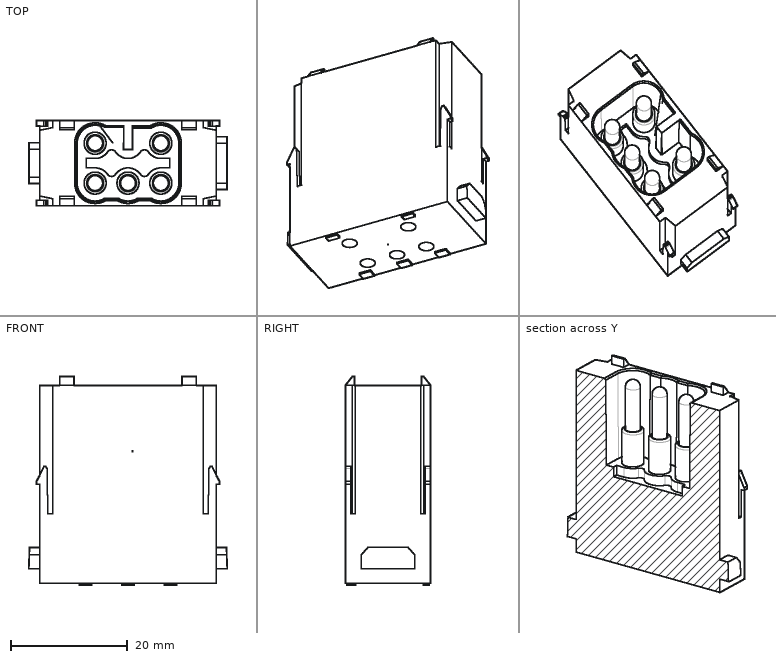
import cadquery as cq
import math

housing_width = 30.2
housing_depth = 14.6
housing_height = 33.88
half_width = housing_width / 2
half_depth = housing_depth / 2

pin_span = 11.25
row_pitch = 6.82
pin_x = pin_span / 2
pin_y = row_pitch / 2
pin_places = [(-pin_x, pin_y), (pin_x, pin_y), (-pin_x, -pin_y), (0, -pin_y), (pin_x, -pin_y)]

pin_radius = 1.3
pin_top = 33.25

lobe_radius = 3.2
cavity_flat_y = 6.15
rim_chamfer = 0.3
cavity_floor = 17.85
cavity_depth = housing_height - cavity_floor
draft_angle = 0.5
draft_inset = cavity_depth * math.tan(math.radians(draft_angle))

tongue_width = 1.43
tongue_tip_y = 2.4
tongue_root_y = 6.8

sleeve_radius = 1.9
sleeve_top = 24.17
sleeve_rounding = 0.32
countersink = 0.15

recess_half_length = 7.18
recess_clearance = 2.6
recess_crest_y = 2.3
recess_depth = 1.8

notch_length = 2.2
notch_inner_depth = 1.2
notch_outer_depth = 1.68
notch_bottom = 11.9
arm_thickness = 0.95
arm_root_width = 1.4
arm_tip_width = 1.25
arm_tip_setback = 0.57
arm_crest_setback = 0.7
arm_crest_width = 0.3
arm_inner_shoulder = 19.6
arm_outer_shoulder = 19.67
arm_top = 20.0
barb_outset = 0.57
barb_bottom = 16.92
barb_nose = 17.42

tab_inner_x = 9.2
tab_width = 2.5
tab_depth = 1.6
tab_ridge_depth = 1.2
tab_height = 1.55

lug_bottom = 2.45
lug_top = 6.15
lug_chamfer_width = 1.1
lug_chamfer_height = 1.2
lug_reach = 1.9
lug_draft_angle = 2.0
left_lug_width = 7.0
right_lug_width = 9.05

pad_height = 0.3
pad_width = 2.15
pad_x = 7.25
front_pad_y = -6.3
front_pad_depth = 1.6
back_pad_y = 6.57
back_pad_depth = 1.05
pads = [(x, front_pad_y, front_pad_depth) for x in (-pad_x, 0, pad_x)]
pads += [(x, back_pad_y, back_pad_depth) for x in (-pad_x, pad_x)]


def in_four_corners(shape):
    """The +X +Y shape together with its mirror images in the other three corners."""
    pair = shape.union(shape.mirror("YZ"))
    return pair.union(pair.mirror("XZ"))


def lobed_outline(work, inset):
    """Cavity outline: round lobes about the pins, joined by flats, moved inward by inset."""
    radius = lobe_radius - inset
    flat_y = cavity_flat_y - inset
    reach = math.sqrt(radius**2 - (flat_y - pin_y) ** 2)
    side_x = pin_x + radius
    crest_y = pin_y + radius
    return (
        work.moveTo(-side_x, pin_y)
        .threePointArc((-pin_x, crest_y), (-pin_x + reach, flat_y))
        .lineTo(pin_x - reach, flat_y)
        .threePointArc((pin_x, crest_y), (side_x, pin_y))
        .lineTo(side_x, -pin_y)
        .threePointArc((pin_x, -crest_y), (pin_x - reach, -flat_y))
        .lineTo(reach, -flat_y)
        .threePointArc((0, -crest_y), (-reach, -flat_y))
        .lineTo(-pin_x + reach, -flat_y)
        .threePointArc((-pin_x, -crest_y), (-side_x, -pin_y))
        .close()
    )


def lobed_loft(bottom, bottom_inset, top, top_inset):
    lower = lobed_outline(cq.Workplane("XY", origin=(0, 0, bottom)), bottom_inset)
    return lobed_outline(lower.workplane(offset=top - bottom), top_inset).loft(ruled=True)


def cavity():
    pocket = lobed_loft(cavity_floor, draft_inset, housing_height, 0)
    rim = lobed_loft(housing_height - rim_chamfer, 0, housing_height, -rim_chamfer)
    return pocket.union(rim)


def tongue():
    """Rib that widens towards the cavity floor."""
    length = tongue_root_y - tongue_tip_y
    return (
        cq.Workplane("XY", origin=(0, tongue_tip_y + length / 2, housing_height))
        .rect(tongue_width, length)
        .extrude(-cavity_depth, taper=-draft_angle)
    )


def sleeves():
    height = sleeve_top - cavity_floor
    floor = cq.Workplane("XY", origin=(0, 0, cavity_floor)).pushPoints(pin_places)
    return floor.circle(sleeve_radius).extrude(height).faces(">Z").fillet(sleeve_rounding)


def pin_bores():
    """Through holes that fit the pins, countersunk at the sleeve mouths."""
    bores = cq.Workplane("XY").pushPoints(pin_places).circle(pin_radius).extrude(sleeve_top)
    mouths = (
        cq.Workplane("XY", origin=(0, 0, sleeve_top))
        .pushPoints(pin_places)
        .circle(pin_radius + countersink)
        .extrude(-countersink, taper=45)
    )
    return bores.union(mouths)


def floor_recess():
    """Recess edged by arcs about the contact places, with round crests tangent to them."""
    crest_x = pin_x / 2
    rise = pin_y - recess_crest_y
    crest_radius = (crest_x**2 + rise**2 - recess_clearance**2) / (2 * (recess_clearance - rise))
    crest_angle = math.atan2(rise + crest_radius, crest_x)
    waist_y = pin_y - recess_clearance
    tangent_x = recess_clearance * math.cos(crest_angle)
    tangent_y = pin_y - recess_clearance * math.sin(crest_angle)
    middle_angle = (crest_angle + math.pi / 2) / 2
    middle_x = pin_x - recess_clearance * math.cos(middle_angle)
    middle_y = pin_y - recess_clearance * math.sin(middle_angle)
    quarter = (
        cq.Workplane("XY", origin=(0, 0, cavity_floor))
        .lineTo(recess_half_length, 0)
        .lineTo(recess_half_length, waist_y)
        .lineTo(pin_x, waist_y)
        .threePointArc((middle_x, middle_y), (pin_x - tangent_x, tangent_y))
        .threePointArc((crest_x, recess_crest_y), (tangent_x, tangent_y))
        .threePointArc((pin_x - middle_x, middle_y), (0, waist_y))
        .close()
        .extrude(-recess_depth)
    )
    return in_four_corners(quarter)


def corner_notch():
    outline = [
        (half_width, half_depth),
        (half_width - notch_length, half_depth),
        (half_width - notch_length, half_depth - notch_inner_depth),
        (half_width, half_depth - notch_outer_depth),
    ]
    base = cq.Workplane("XY", origin=(0, 0, notch_bottom))
    return base.polyline(outline).close().extrude(housing_height - notch_bottom)


def latch_arm():
    """Barbed arm that rises from the bottom of a corner notch, flush with the long side."""
    return (
        cq.Workplane("XZ", origin=(half_width, half_depth, 0))
        .moveTo(0, notch_bottom)
        .lineTo(0, barb_bottom)
        .lineTo(barb_outset, barb_bottom)
        .lineTo(barb_outset, barb_nose)
        .lineTo(-arm_tip_setback, arm_outer_shoulder)
        .lineTo(-arm_crest_setback, arm_top)
        .lineTo(-arm_crest_setback - arm_crest_width, arm_top)
        .lineTo(-arm_tip_width, arm_inner_shoulder)
        .lineTo(-arm_root_width, notch_bottom)
        .close()
        .extrude(arm_thickness)
    )


def top_tab():
    """Wedge that rises inward from the long edge of the top face."""
    profile = [
        (half_depth, housing_height),
        (half_depth - tab_ridge_depth, housing_height + tab_height),
        (half_depth - tab_depth, housing_height + tab_height),
        (half_depth - tab_depth, housing_height),
    ]
    return cq.Workplane("YZ", origin=(tab_inner_x, 0, 0)).polyline(profile).close().extrude(tab_width)


def end_lug(width):
    """Lug on the +X end, with cut upper corners and an end face that leans inward."""
    half = width / 2
    outline = [
        (-half, lug_bottom),
        (half, lug_bottom),
        (half, lug_top - lug_chamfer_height),
        (half - lug_chamfer_width, lug_top),
        (-half + lug_chamfer_width, lug_top),
        (-half, lug_top - lug_chamfer_height),
    ]
    lug = cq.Workplane("YZ", origin=(half_width, 0, 0)).polyline(outline).close().extrude(lug_reach)
    lean = (lug_top - lug_bottom) * math.tan(math.radians(lug_draft_angle))
    end_x = half_width + lug_reach
    trim_outline = [(end_x, lug_bottom), (end_x, lug_top), (end_x - lean, lug_top)]
    trim = cq.Workplane("XZ").polyline(trim_outline).close().extrude(half, both=True)
    return lug.cut(trim)


def make_housing():
    body = cq.Workplane("XY").box(housing_width, housing_depth, housing_height, centered=(True, True, False))
    body = body.cut(cavity())
    body = body.union(tongue()).union(sleeves())
    body = body.cut(pin_bores()).cut(floor_recess())
    body = body.cut(in_four_corners(corner_notch()))
    body = body.union(in_four_corners(latch_arm()))
    body = body.union(in_four_corners(top_tab()))
    body = body.union(end_lug(right_lug_width))
    body = body.union(end_lug(left_lug_width).mirror("YZ"))
    for x, y, depth in pads:
        body = body.union(cq.Workplane("XY", origin=(x, y, 0)).rect(pad_width, depth).extrude(-pad_height))
    return body


def make_pin(x, y):
    """Round pin, flush with the bottom of the housing and domed at the top."""
    shaft_top = pin_top - pin_radius
    return (
        cq.Workplane("XZ", origin=(x, y, 0))
        .lineTo(pin_radius, 0)
        .lineTo(pin_radius, shaft_top)
        .radiusArc((0, pin_top), -pin_radius)
        .close()
        .revolve()
    )


housing = make_housing()
pins = [make_pin(x, y) for x, y in pin_places]

result = cq.Compound.makeCompound([housing.solids().val(), *[pin.val() for pin in pins]])